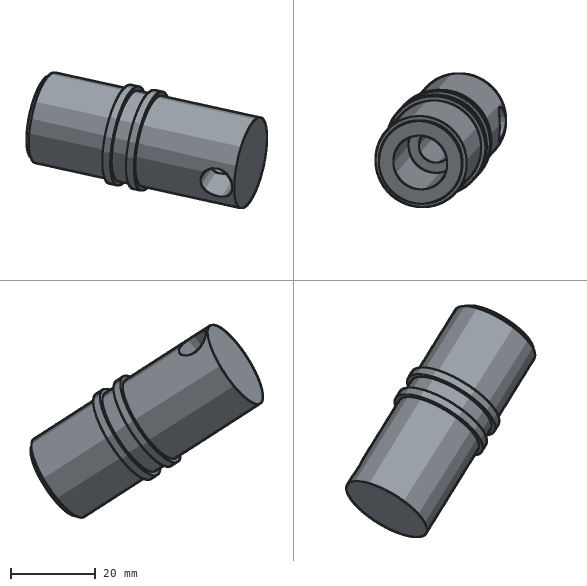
import cadquery as cq

body_length = 53.0
body_diameter = 22.0
spigot_diameter = 20.0
spigot_length = 1.0

ring_diameter = 24.0
ring_width = 2.0
first_ring_start = 20.0
ring_pitch = 6.0
ring_count = 2

entry_bore_diameter = 13.0
entry_bore_depth = first_ring_start

passage_diameter = 8.0
outlet_end_distance = 4.5
outlet_x = body_length - outlet_end_distance


def cylinder_along_x(diameter, start, length):
    return cq.Workplane("YZ").workplane(offset=start).circle(diameter / 2).extrude(length)


def make_elbow_passage():
    """Round passage running along X, with a mitred right-angle turn towards -Y."""
    outlet_length = body_diameter
    path = (
        cq.Workplane("XY")
        .moveTo(entry_bore_depth, 0)
        .lineTo(outlet_x, 0)
        .lineTo(outlet_x, -outlet_length)
    )
    profile = cq.Workplane("YZ").workplane(offset=entry_bore_depth).circle(passage_diameter / 2)
    return profile.sweep(path, transition="right")


def make_body():
    spigot = cylinder_along_x(spigot_diameter, 0, spigot_length)
    barrel = cylinder_along_x(body_diameter, spigot_length, body_length - spigot_length)
    entry_bore = cylinder_along_x(entry_bore_diameter, 0, entry_bore_depth)
    return spigot.union(barrel).cut(entry_bore).cut(make_elbow_passage())


def make_ring(start):
    """Flat-sided ring that fits closely on the outside of the barrel."""
    outer = cylinder_along_x(ring_diameter, start, ring_width)
    opening = cylinder_along_x(body_diameter, start, ring_width)
    return outer.cut(opening)


body = make_body()
rings = [make_ring(first_ring_start + index * ring_pitch) for index in range(ring_count)]

result = cq.Compound.makeCompound([body.solids().val(), *[ring.solids().val() for ring in rings]])